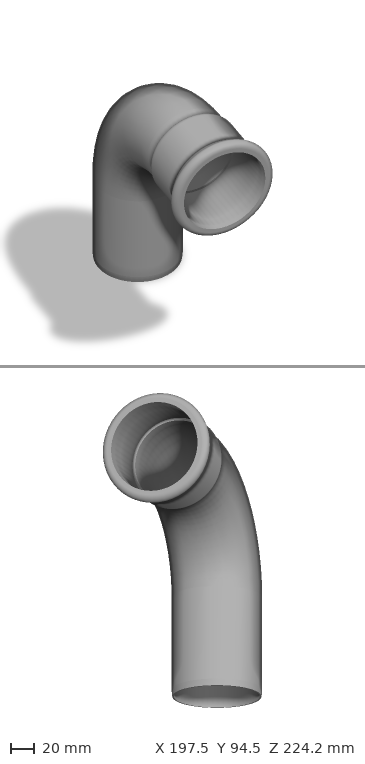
import cadquery as cq
import math

total_height = 224.2
pipe_radius = 76.0 / 2
bore_radius = 72.2 / 2
bend_radius = 91.3
tip_length = 5.5
tip_radius = 37.5

total_length = 197.5
shoulder_start = 137.7
shoulder_end = 142.8
flare_start = 180.7
socket_radius = 80.7 / 2
socket_bore_radius = 76.7 / 2

rim_radius = 94.5 / 2
rim_round = 5.2
rim_center_x = total_length - rim_round
rim_center_r = rim_radius - rim_round

leg_length = total_height - rim_radius - bend_radius

leg_x = pipe_radius
socket_z = leg_length + bend_radius
bend_end_x = leg_x + bend_radius


def elbow(radius):
    """Solid round bar along the vertical leg and the quarter bend."""
    bend_center = (bend_end_x, leg_length)
    bend_middle = (
        bend_center[0] - bend_radius * math.cos(math.pi / 4),
        bend_center[1] + bend_radius * math.sin(math.pi / 4),
    )
    path = (
        cq.Workplane("XZ")
        .moveTo(leg_x, leg_length)
        .threePointArc(bend_middle, (bend_end_x, socket_z))
    )
    bend = cq.Workplane("XY", origin=(leg_x, 0, leg_length)).circle(radius).sweep(path)
    leg = cq.Workplane("XY", origin=(leg_x, 0, 0)).circle(radius).extrude(leg_length)
    return leg.union(bend)


def tapered_tip():
    """Ring removed from the free end of the leg to leave its slight taper."""
    base = cq.Workplane("XY", origin=(leg_x, 0, 0))
    kept = base.circle(tip_radius).workplane(offset=tip_length).circle(pipe_radius).loft()
    return base.circle(2 * pipe_radius).extrude(tip_length).cut(kept)


def turn_about_socket_axis(profile):
    """Revolve a closed (X, radius) profile about the horizontal axis."""
    return profile.close().revolve(360, (0, 0, 0), (1, 0, 0))


def socket_body():
    """Short pipe end, rounded shoulder, socket, conical flare and rolled rim."""
    shoulder_length = shoulder_end - shoulder_start
    shoulder_rise = socket_radius - pipe_radius
    shoulder_round = (shoulder_length**2 + shoulder_rise**2) / (2 * shoulder_rise)
    half_angle = math.asin(shoulder_length / shoulder_round) / 2
    shoulder_middle = (
        shoulder_end - shoulder_round * math.sin(half_angle),
        socket_radius - shoulder_round * (1 - math.cos(half_angle)),
    )

    dx = rim_center_x - flare_start
    dr = rim_center_r - socket_radius
    flare_angle = math.atan2(dr, dx) + math.asin(rim_round / math.hypot(dx, dr))
    touch_angle = flare_angle + math.pi / 2

    def rim_point(angle):
        return (
            rim_center_x + rim_round * math.cos(angle),
            rim_center_r + rim_round * math.sin(angle),
        )

    profile = (
        cq.Workplane("XZ", origin=(0, 0, socket_z))
        .moveTo(bend_end_x, 0)
        .lineTo(bend_end_x, pipe_radius)
        .lineTo(shoulder_start, pipe_radius)
        .threePointArc(shoulder_middle, (shoulder_end, socket_radius))
        .lineTo(flare_start, socket_radius)
        .lineTo(*rim_point(touch_angle))
        .threePointArc(rim_point(touch_angle / 2), rim_point(0))
        .lineTo(total_length, 0)
    )
    return turn_about_socket_axis(profile)


def socket_bore():
    """Pipe bore opening into the wider socket bore at the end of the shoulder."""
    profile = (
        cq.Workplane("XZ", origin=(0, 0, socket_z))
        .moveTo(bend_end_x, 0)
        .lineTo(bend_end_x, bore_radius)
        .lineTo(shoulder_end, bore_radius)
        .lineTo(shoulder_end, socket_bore_radius)
        .lineTo(total_length, socket_bore_radius)
        .lineTo(total_length, 0)
    )
    return turn_about_socket_axis(profile)


outside = elbow(pipe_radius).union(socket_body()).cut(tapered_tip())
result = outside.cut(elbow(bore_radius)).cut(socket_bore())